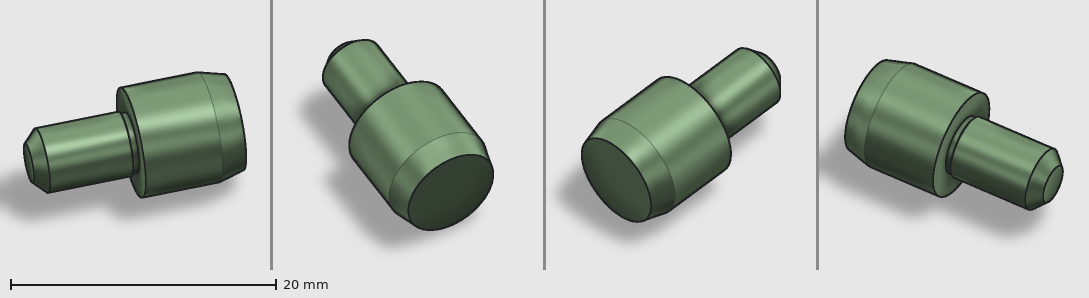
import cadquery as cq
import math

head_diameter = 8.5
head_length = 8.0
lead_in_length = 2.0
lead_in_angle = 15.0
shank_diameter = 5.0
shank_length = 8.0
tip_chamfer = 1.0
neck_diameter = 4.7
neck_length = 0.5

head_radius = head_diameter / 2
lead_in_radius = head_radius - lead_in_length * math.tan(math.radians(lead_in_angle))
shank_radius = shank_diameter / 2
neck_radius = neck_diameter / 2

half_section = (
    cq.Workplane("XY")
    .moveTo(0, -shank_length)
    .lineTo(shank_radius - tip_chamfer, -shank_length)
    .lineTo(shank_radius, -shank_length + tip_chamfer)
    .lineTo(shank_radius, -neck_length)
    .lineTo(neck_radius, -neck_length)
    .lineTo(neck_radius, 0)
    .lineTo(head_radius, 0)
    .lineTo(head_radius, head_length - lead_in_length)
    .lineTo(lead_in_radius, head_length)
    .lineTo(0, head_length)
    .close()
)

result = half_section.revolve(360, (0, 0, 0), (0, 1, 0))